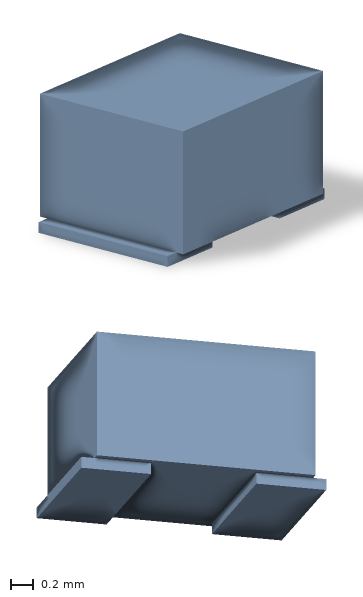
import cadquery as cq

overall_length = 2.24
overall_height = 1.25

pad_width = 1.44
pad_length = 0.638
pad_thickness = 0.1

housing_width = 1.6
housing_length = 2.0
housing_height = overall_height - pad_thickness


def make_housing():
    """Plain block resting on top of the terminal pads."""
    return (
        cq.Workplane("XY")
        .workplane(offset=pad_thickness)
        .rect(housing_width, housing_length)
        .extrude(housing_height)
    )


def make_pad(side):
    """Flat terminal pad at the -Y end (side = -1) or the +Y end (side = 1)."""
    center_y = side * (overall_length - pad_length) / 2
    return (
        cq.Workplane("XY")
        .center(0, center_y)
        .rect(pad_width, pad_length)
        .extrude(pad_thickness)
    )


housing = make_housing()
pads = [make_pad(side) for side in (-1, 1)]

result = cq.Compound.makeCompound([housing.val(), *[pad.val() for pad in pads]])